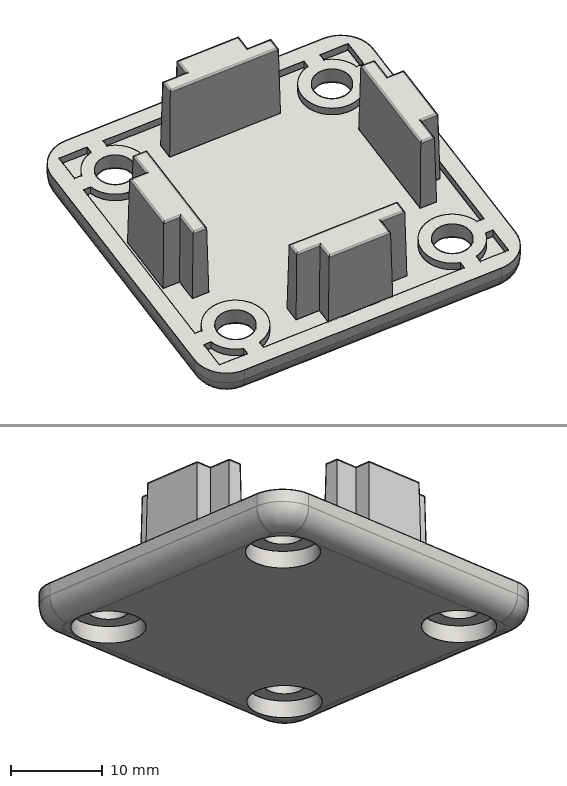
import cadquery as cq

PLATE_SIZE = 40.0
PLATE_HEIGHT = 4.0
CORNER_RADIUS = 4.0
BOTTOM_FILLET = 2.5

RIM_WIDTH = 2.0
RECESS_DEPTH = 1.0
RECESS_SIZE = PLATE_SIZE - 2 * RIM_WIDTH
FLOOR_HEIGHT = PLATE_HEIGHT - RECESS_DEPTH

HOLE_SPACING = 27.0
HOLE_DIAMETER = 4.5
COUNTERBORE_DIAMETER = 8.2
COUNTERBORE_DEPTH = 2.0
BOSS_DIAMETER = 7.5
WEB_WIDTH = 2.0

TOTAL_HEIGHT = 13.0
TAB_INNER_FACE = 13.15
TAB_FLANGE_FACE = 15.2
TAB_STEM_FACE = 17.25
TAB_FLANGE_WIDTH = 13.8
TAB_STEM_WIDTH = 8.0
TAB_DRAFT_ANGLE = 1.0
TAB_TOP_FILLET = 0.2


def make_plate():
    """Square plate with rounded corners and a rounded bottom edge."""
    return (
        cq.Workplane("XY")
        .rect(PLATE_SIZE, PLATE_SIZE)
        .extrude(PLATE_HEIGHT)
        .edges("|Z")
        .fillet(CORNER_RADIUS)
        .faces("<Z")
        .edges()
        .fillet(BOTTOM_FILLET)
    )


def make_recess():
    """Square pocket volume that leaves the bosses and their webs standing."""
    floor = cq.Workplane("XY").workplane(offset=FLOOR_HEIGHT)
    recess = floor.rect(RECESS_SIZE, RECESS_SIZE).extrude(RECESS_DEPTH)
    recess = recess.cut(make_hole_cylinders(BOSS_DIAMETER, FLOOR_HEIGHT, RECESS_DEPTH))

    web_length = (PLATE_SIZE - HOLE_SPACING) / 2
    web_spacing = (PLATE_SIZE + HOLE_SPACING) / 2
    x_webs = (
        floor.rect(web_spacing, HOLE_SPACING, forConstruction=True)
        .vertices()
        .rect(web_length, WEB_WIDTH)
        .extrude(RECESS_DEPTH)
    )
    y_webs = x_webs.rotate((0, 0, 0), (0, 0, 1), 90)
    return recess.cut(x_webs).cut(y_webs)


def make_drafted_bar(width, outer_face):
    """Drafted block rising from the recess floor, from the tab's inner face out to outer_face."""
    length = outer_face - TAB_INNER_FACE
    return (
        cq.Workplane("XY")
        .workplane(offset=FLOOR_HEIGHT)
        .center(0, TAB_INNER_FACE + length / 2)
        .rect(width, length)
        .extrude(TOTAL_HEIGHT - FLOOR_HEIGHT, taper=TAB_DRAFT_ANGLE)
    )


def make_tab():
    """T-shaped tab on the +Y side, its stem pointing outward."""
    flange = make_drafted_bar(TAB_FLANGE_WIDTH, TAB_FLANGE_FACE)
    stem = make_drafted_bar(TAB_STEM_WIDTH, TAB_STEM_FACE)
    return flange.union(stem, clean=True).faces(">Z").edges().fillet(TAB_TOP_FILLET)


def make_hole_cylinders(diameter, bottom, height):
    """One upright cylinder on each of the four screw hole axes."""
    return (
        cq.Workplane("XY")
        .workplane(offset=bottom)
        .rect(HOLE_SPACING, HOLE_SPACING, forConstruction=True)
        .vertices()
        .circle(diameter / 2)
        .extrude(height)
    )


result = make_plate().cut(make_recess())

tab = make_tab()
for quarter_turn in range(4):
    result = result.union(tab.rotate((0, 0, 0), (0, 0, 1), 90 * quarter_turn))

result = result.cut(make_hole_cylinders(HOLE_DIAMETER, 0, PLATE_HEIGHT))
result = result.cut(make_hole_cylinders(COUNTERBORE_DIAMETER, 0, COUNTERBORE_DEPTH))